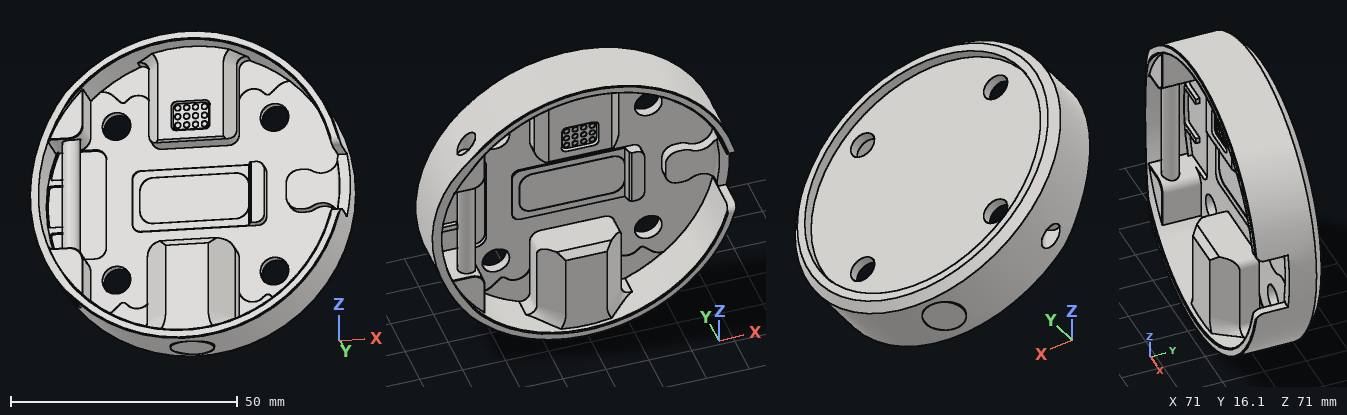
import cadquery as cq
import math


OUTER_RADIUS = 35.5
INNER_RADIUS = 33.5
RIM_HEIGHT = 16.1
FLOOR_HEIGHT = 5.0
BACK_CHAMFER = 2.0
BACK_RECESS_RADIUS = 31.5
BACK_RECESS_DEPTH = 2.5
RIM_OUTER_CHAMFER = 0.2
RIM_INNER_CHAMFER = 0.25

SCREW_HOLE_DIAMETER = 6.3
SCREW_HOLE_OFFSET = 17.75

RELIEF_START_X = -24.8
RELIEF_RADIUS = 15.4
RELIEF_ANGLE = 17.0

SLOT_HALF_WIDTH = 7.2
SLOT_HEIGHT = 8.5
SLOT_LIP_RADIUS = 2.0

BOSS_HEIGHT = 7.5
BOSS_END_X = 20.9
BOSS_HALF_WIDTH = 4.55
BOSS_CORNER_RADIUS = 3.0
NECK_X = 28.9
NECK_HALF_WIDTH = 3.45
NECK_RADIUS = 4.0
BOSS_WALL_RADIUS = 33.1

BLOCK_HALF_WIDTH = 9.85
BLOCK_INNER_Z = 11.85
BLOCK_CORNER_RADIUS = 2.4
BLOCK_FLARE_RADIUS = 2.0
BLOCK_FLARE_TRIM = 0.25
UPPER_BLOCK_HEIGHT = 10.5
UPPER_SIDE_CHAMFER = 2.5
UPPER_END_CHAMFER = 0.5
LOWER_BLOCK_HEIGHT = 14.75
LOWER_SIDE_CHAMFER = 5.05
LOWER_END_CHAMFER = 1.6

RECESS_DEPTH = 0.1
INNER_WAVE_X = 13.0
INNER_WAVE_Z = 21.3
INNER_WAVE_RADIUS = 3.3
OUTER_WAVE_X = 21.2
OUTER_WAVE_Z = 21.9
OUTER_WAVE_RADIUS = 4.0
VALLEY_X = 16.25
VALLEY_Z = 23.05
VALLEY_HALF_WIDTH = 0.6
VALLEY_RISE = 0.25

PIN_X = -26.7
PIN_HEIGHT = 11.0
PIN_DIAMETER = 3.97
PIN_HOLE_DIAMETER = 4.03
PIN_HALF_LENGTH = 20.0
PILLAR_EDGE_X = -23.5
PILLAR_INNER_Z = 12.6
PILLAR_HEIGHT = 14.3
PILLAR_CORNER_RADIUS = 3.0
PILLAR_EDGE_CHAMFER = 0.15
PILLAR_FLARE_RADIUS = 1.0
PILLAR_FLARE_TRIM = 0.1
PIN_POCKET_EDGE_X = -20.0
PIN_POCKET_CORNER_RADIUS = 2.5
PIN_POCKET_DEPTH = 1.0
RIB_INNER_Z = 4.8
RIB_OUTER_Z = 6.1
RIB_END_RADIUS = 0.7
PIN_POCKET_WALL_GAP = 0.25

PLUG_DIAMETER = 9.7
PLUG_HOLE_DIAMETER = 9.8
PLUG_AXIS_HEIGHT = 8.45
PLUG_LENGTH = 4.0

PAD_START_X = -14.1
PAD_END_X = 16.0
PAD_HALF_WIDTH = 7.0
PAD_THICKNESS = 0.4
PAD_CORNER_RADIUS = 1.9
RIDGE_START_X = 12.1
RIDGE_SLANT = 0.5
RIDGE_CHAMFER = 0.4
PANEL_START_X = -12.4
PANEL_HALF_WIDTH = 5.28
PANEL_CORNER_RADIUS = 3.0
PANEL_DEPTH = 0.1

CONNECTOR_Z = 17.6
CONNECTOR_LENGTH = 8.0
CONNECTOR_WIDTH = 6.0
CONNECTOR_GAP = 0.35
CONNECTOR_CORNER_RADIUS = 1.25
CONNECTOR_THICKNESS = 2.0
CONNECTOR_SINK = 0.6
CONTACT_DIAMETER = 1.3
CONTACT_PITCH = 2.0
CONTACT_COLUMNS = 4
CONTACT_ROWS = 3
CONTACT_RISE = 0.1

MARGIN = 5.0


def at_height(height):
    """Workplane facing -Y at the given height; its axes are X and Z."""
    return cq.Workplane("XZ", origin=(0, -height, 0))


def disc(radius, start, end):
    return at_height(start).circle(radius).extrude(end - start)


def slab(x_start, x_end, z_start, z_end, start, end):
    """Box between two corners in X and Z and two heights."""
    center_x = (x_start + x_end) / 2
    center_z = (z_start + z_end) / 2
    return (
        at_height(start)
        .center(center_x, center_z)
        .rect(x_end - x_start, abs(z_end - z_start))
        .extrude(end - start)
    )


def inside_wall(solid):
    """Trim a floor feature where it meets the middle of the shell wall."""
    wall_middle = (INNER_RADIUS + OUTER_RADIUS) / 2
    return solid.intersect(disc(wall_middle, 0, RIM_HEIGHT))


def make_shell():
    shell = disc(OUTER_RADIUS, 0, RIM_HEIGHT)
    shell = shell.faces(">Y").chamfer(BACK_CHAMFER)
    shell = shell.faces("<Y").chamfer(RIM_OUTER_CHAMFER)
    shell = shell.cut(disc(INNER_RADIUS, FLOOR_HEIGHT, RIM_HEIGHT))
    shell = shell.cut(disc(BACK_RECESS_RADIUS, 0, BACK_RECESS_DEPTH))
    inner_rim = cq.selectors.RadiusNthSelector(0)
    return shell.faces("<Y").edges(inner_rim).chamfer(RIM_INNER_CHAMFER)


def wavy_recess(side_x, side_z):
    """Shallow recess between a block, the wall and the plateau round a screw hole."""
    valley_top_z = VALLEY_Z + VALLEY_RISE
    valley_inner_x = VALLEY_X - VALLEY_HALF_WIDTH
    valley_outer_x = VALLEY_X + VALLEY_HALF_WIDTH
    block_reach = BLOCK_HALF_WIDTH - INNER_WAVE_X
    wave_start_z = INNER_WAVE_Z + math.sqrt(INNER_WAVE_RADIUS**2 - block_reach**2)
    diagonal = math.sqrt(0.5)
    lean_x = math.sin(math.radians(30))
    lean_z = math.cos(math.radians(30))
    outer_wave_top = OUTER_WAVE_Z + OUTER_WAVE_RADIUS

    def point(x, z):
        return (side_x * x, side_z * z)

    recess = (
        at_height(FLOOR_HEIGHT - RECESS_DEPTH)
        .moveTo(*point(BLOCK_HALF_WIDTH, wave_start_z))
        .threePointArc(
            point(INNER_WAVE_X, INNER_WAVE_Z + INNER_WAVE_RADIUS),
            point(
                INNER_WAVE_X + INNER_WAVE_RADIUS * lean_x,
                INNER_WAVE_Z + INNER_WAVE_RADIUS * lean_z,
            ),
        )
        .lineTo(*point(valley_inner_x, valley_top_z))
        .threePointArc(point(VALLEY_X, VALLEY_Z), point(valley_outer_x, valley_top_z))
        .lineTo(
            *point(
                OUTER_WAVE_X - OUTER_WAVE_RADIUS * diagonal,
                OUTER_WAVE_Z + OUTER_WAVE_RADIUS * diagonal,
            )
        )
        .threePointArc(
            point(
                OUTER_WAVE_X - OUTER_WAVE_RADIUS * lean_x,
                OUTER_WAVE_Z + OUTER_WAVE_RADIUS * lean_z,
            ),
            point(OUTER_WAVE_X, outer_wave_top),
        )
        .lineTo(*point(OUTER_WAVE_X, INNER_RADIUS))
        .lineTo(*point(BLOCK_HALF_WIDTH, INNER_RADIUS))
        .close()
        .extrude(RECESS_DEPTH)
    )
    return recess.intersect(disc(INNER_RADIUS, 0, FLOOR_HEIGHT))


def make_block(direction, height, side_chamfer, end_chamfer):
    """Floor block from BLOCK_INNER_Z to the wall, flared where it meets the wall.

    direction is +1 for the +Z side and -1 for the -Z side.
    """
    arc_x = BLOCK_HALF_WIDTH + BLOCK_FLARE_RADIUS
    arc_z = math.sqrt((INNER_RADIUS - BLOCK_FLARE_RADIUS) ** 2 - arc_x**2)
    touch_x = arc_x * INNER_RADIUS / (INNER_RADIUS - BLOCK_FLARE_RADIUS)
    reach_x = touch_x - BLOCK_FLARE_TRIM
    shoulder = height - side_chamfer

    core = slab(
        -BLOCK_HALF_WIDTH,
        BLOCK_HALF_WIDTH,
        direction * BLOCK_INNER_Z,
        direction * OUTER_RADIUS,
        BACK_RECESS_DEPTH,
        height,
    )
    inner_end = ">Z" if direction < 0 else "<Z"
    core = core.edges("|Y").edges(inner_end).fillet(BLOCK_CORNER_RADIUS)
    flare_root = slab(
        -reach_x, reach_x, direction * arc_z, direction * OUTER_RADIUS, BACK_RECESS_DEPTH, height
    )
    block = core.union(flare_root)

    for side in (-1, 1):
        profile = [
            (0, 0),
            (BLOCK_FLARE_RADIUS, 0),
            (BLOCK_FLARE_RADIUS, -shoulder),
            (BLOCK_FLARE_RADIUS + side_chamfer, -height),
            (0, -height),
        ]
        turned = (
            cq.Workplane("XY", origin=(side * arc_x, 0, direction * arc_z))
            .polyline(profile)
            .close()
            .revolve(360, (0, 0, 0), (0, 1, 0))
        )
        straight_profile = [(side * (arc_x - offset), y) for offset, y in profile]
        straight = (
            cq.Workplane("XY", origin=(0, 0, direction * arc_z))
            .polyline(straight_profile)
            .close()
            .extrude(-direction * arc_z)
        )
        block = block.cut(turned).cut(straight)

    end_cut = (
        cq.Workplane("YZ", origin=(-OUTER_RADIUS, 0, 0))
        .moveTo(-height, direction * BLOCK_INNER_Z)
        .lineTo(-height, direction * (BLOCK_INNER_Z + end_chamfer))
        .lineTo(-height + end_chamfer, direction * BLOCK_INNER_Z)
        .close()
        .extrude(2 * OUTER_RADIUS)
    )
    return inside_wall(block.cut(end_cut))


def make_pillar(direction):
    """Pillar on the floor that holds one end of the hinge pin."""
    pillar = slab(
        -OUTER_RADIUS,
        PILLAR_EDGE_X,
        direction * PILLAR_INNER_Z,
        direction * OUTER_RADIUS,
        BACK_RECESS_DEPTH,
        PILLAR_HEIGHT,
    )
    inner_end = "<Z" if direction > 0 else ">Z"
    pillar = pillar.edges("|Y").edges(">X").edges(inner_end).fillet(PILLAR_CORNER_RADIUS)
    pillar = pillar.faces("<Y").edges().chamfer(PILLAR_EDGE_CHAMFER)

    arc_z = PILLAR_INNER_Z - PILLAR_FLARE_RADIUS
    arc_circle = INNER_RADIUS - PILLAR_FLARE_RADIUS
    arc_x = -math.sqrt(arc_circle**2 - arc_z**2)
    root_z = arc_z * INNER_RADIUS / arc_circle + PILLAR_FLARE_TRIM
    flare = slab(
        -OUTER_RADIUS,
        arc_x,
        direction * root_z,
        direction * PILLAR_INNER_Z,
        BACK_RECESS_DEPTH,
        PILLAR_HEIGHT,
    )
    flare_hollow = (
        at_height(BACK_RECESS_DEPTH)
        .center(arc_x, direction * arc_z)
        .circle(PILLAR_FLARE_RADIUS)
        .extrude(PILLAR_HEIGHT)
    )
    return inside_wall(pillar.union(flare.cut(flare_hollow)))


def make_keyhole_boss():
    """Boss with a wide rounded end and a neck, blended up into the slotted wall."""
    corner_end_x = BOSS_END_X + BOSS_CORNER_RADIUS
    corner_z = BOSS_HALF_WIDTH - BOSS_CORNER_RADIUS
    radii = BOSS_CORNER_RADIUS + NECK_RADIUS
    step = BOSS_HALF_WIDTH - NECK_HALF_WIDTH
    shoulder_x = NECK_X - math.sqrt(radii**2 - (radii - step) ** 2)
    join = BOSS_CORNER_RADIUS / radii
    neck_z = NECK_HALF_WIDTH + NECK_RADIUS
    join_point = (
        shoulder_x + join * (NECK_X - shoulder_x),
        corner_z + join * (neck_z - corner_z),
    )
    flare_x = math.sqrt(INNER_RADIUS**2 - SLOT_HALF_WIDTH**2)
    half = (
        at_height(BACK_RECESS_DEPTH)
        .moveTo(BOSS_END_X, 0)
        .lineTo(BOSS_END_X, corner_z)
        .tangentArcPoint((corner_end_x, BOSS_HALF_WIDTH), relative=False)
        .lineTo(shoulder_x, BOSS_HALF_WIDTH)
        .tangentArcPoint(join_point, relative=False)
        .tangentArcPoint((NECK_X, NECK_HALF_WIDTH), relative=False)
        .tangentArcPoint((flare_x, SLOT_HALF_WIDTH), relative=False)
        .lineTo(OUTER_RADIUS, SLOT_HALF_WIDTH)
        .lineTo(OUTER_RADIUS, 0)
        .close()
    )
    prism = half.extrude(SLOT_HEIGHT - BACK_RECESS_DEPTH)
    fillet_radius = SLOT_HEIGHT - BOSS_HEIGHT
    fillet_start = BOSS_WALL_RADIUS - fillet_radius
    diagonal = fillet_radius * math.sqrt(0.5)
    hollow = (
        cq.Workplane("XY")
        .moveTo(0, -BOSS_HEIGHT)
        .lineTo(-fillet_start, -BOSS_HEIGHT)
        .threePointArc(
            (-fillet_start - diagonal, -SLOT_HEIGHT + diagonal),
            (-BOSS_WALL_RADIUS, -SLOT_HEIGHT),
        )
        .lineTo(-BOSS_WALL_RADIUS, -RIM_HEIGHT)
        .lineTo(0, -RIM_HEIGHT)
        .close()
        .revolve(360, (0, 0, 0), (0, 1, 0))
    )
    boss = prism.cut(hollow)
    return inside_wall(boss.union(boss.mirror("XY")))


def slot_cut():
    """Slot through the rim whose front corners are rounded outward."""
    lip = SLOT_HALF_WIDTH + SLOT_LIP_RADIUS
    lip_start = RIM_HEIGHT - SLOT_LIP_RADIUS
    opening = slab(
        BOSS_END_X, OUTER_RADIUS + MARGIN, -lip, lip, SLOT_HEIGHT, RIM_HEIGHT
    )
    for side in (-1, 1):
        straight_side = slab(
            BOSS_END_X, OUTER_RADIUS + MARGIN, side * SLOT_HALF_WIDTH, side * lip, SLOT_HEIGHT, lip_start
        )
        rounded_side = (
            cq.Workplane("YZ", origin=(BOSS_END_X, -lip_start, side * lip))
            .circle(SLOT_LIP_RADIUS)
            .extrude(OUTER_RADIUS)
        )
        opening = opening.cut(straight_side).cut(rounded_side)
    return opening


def relief_cut():
    """Slope that lowers the rim toward -X, starting with a tangent arc."""
    angle = math.radians(RELIEF_ANGLE)
    half_angle = angle / 2

    def arc_point(turn):
        x = RELIEF_START_X - RELIEF_RADIUS * math.sin(turn)
        return (x, -RIM_HEIGHT + RELIEF_RADIUS * (1 - math.cos(turn)))

    arc_end_x, arc_end_y = arc_point(angle)
    far_x = -OUTER_RADIUS - MARGIN
    far_y = arc_end_y + (arc_end_x - far_x) * math.tan(angle)
    return (
        cq.Workplane("XY", origin=(0, 0, -OUTER_RADIUS))
        .moveTo(RELIEF_START_X, -RIM_HEIGHT)
        .threePointArc(arc_point(half_angle), (arc_end_x, arc_end_y))
        .lineTo(far_x, far_y)
        .lineTo(far_x, -RIM_HEIGHT)
        .close()
        .extrude(2 * OUTER_RADIUS)
    )


def pin_pocket():
    """Floor pocket under the pin; two ribs divide its part beyond the pin."""
    bottom = FLOOR_HEIGHT - PIN_POCKET_DEPTH
    pocket = slab(
        -OUTER_RADIUS, PIN_POCKET_EDGE_X, -PILLAR_INNER_Z, PILLAR_INNER_Z, bottom, FLOOR_HEIGHT
    )
    pocket = pocket.edges("|Y and >X").fillet(PIN_POCKET_CORNER_RADIUS)
    for side in (-1, 1):
        rib = slab(
            -OUTER_RADIUS, PIN_X, side * RIB_INNER_Z, side * RIB_OUTER_Z, bottom, FLOOR_HEIGHT
        )
        pocket = pocket.cut(rib)
    pocket = pocket.intersect(disc(INNER_RADIUS - PIN_POCKET_WALL_GAP, 0, FLOOR_HEIGHT))
    beside_ribs = cq.selectors.BoxSelector(
        (-OUTER_RADIUS, -RIM_HEIGHT, -PILLAR_INNER_Z + PILLAR_FLARE_RADIUS),
        (PIN_X - PIN_DIAMETER, 0, PILLAR_INNER_Z - PILLAR_FLARE_RADIUS),
    )
    return pocket.edges("|Y").edges(beside_ribs).fillet(RIB_END_RADIUS)


def pin_rod(diameter, half_length):
    return (
        cq.Workplane("XY", origin=(PIN_X, -PIN_HEIGHT, -half_length))
        .circle(diameter / 2)
        .extrude(2 * half_length)
    )


def plug_rod(diameter):
    return (
        cq.Workplane("XY", origin=(0, -PLUG_AXIS_HEIGHT, -OUTER_RADIUS))
        .circle(diameter / 2)
        .extrude(PLUG_LENGTH)
    )


def connector_prism(gap, start, end):
    return (
        at_height(start)
        .center(0, CONNECTOR_Z)
        .rect(CONNECTOR_LENGTH + 2 * gap, CONNECTOR_WIDTH + 2 * gap)
        .extrude(end - start)
        .edges("|Y")
        .fillet(CONNECTOR_CORNER_RADIUS)
    )


def make_housing():
    housing = make_shell()
    for side_x in (-1, 1):
        for side_z in (-1, 1):
            housing = housing.cut(wavy_recess(side_x, side_z))
    housing = housing.cut(pin_pocket())
    housing = housing.union(
        make_block(1, UPPER_BLOCK_HEIGHT, UPPER_SIDE_CHAMFER, UPPER_END_CHAMFER)
    )
    housing = housing.union(
        make_block(-1, LOWER_BLOCK_HEIGHT, LOWER_SIDE_CHAMFER, LOWER_END_CHAMFER)
    )
    for direction in (-1, 1):
        housing = housing.union(make_pillar(direction))
    housing = housing.union(make_keyhole_boss())
    housing = housing.cut(slot_cut()).cut(relief_cut())
    housing = housing.cut(pin_rod(PIN_HOLE_DIAMETER, OUTER_RADIUS))
    housing = housing.cut(plug_rod(PLUG_HOLE_DIAMETER))
    housing = housing.cut(
        connector_prism(
            CONNECTOR_GAP,
            UPPER_BLOCK_HEIGHT - CONNECTOR_SINK - CONNECTOR_THICKNESS,
            UPPER_BLOCK_HEIGHT,
        )
    )
    screw_holes = (
        at_height(0)
        .rect(2 * SCREW_HOLE_OFFSET, 2 * SCREW_HOLE_OFFSET, forConstruction=True)
        .vertices()
        .circle(SCREW_HOLE_DIAMETER / 2)
        .extrude(RIM_HEIGHT)
    )
    return housing.cut(screw_holes)


def make_pad():
    pad_top = FLOOR_HEIGHT + PAD_THICKNESS
    pad = slab(
        PAD_START_X, PAD_END_X, -PAD_HALF_WIDTH, PAD_HALF_WIDTH, FLOOR_HEIGHT, pad_top
    )
    pad = pad.edges("|Y").fillet(PAD_CORNER_RADIUS)
    ridge = (
        cq.Workplane("XY", origin=(0, 0, -PAD_HALF_WIDTH))
        .moveTo(RIDGE_START_X, -FLOOR_HEIGHT)
        .lineTo(RIDGE_START_X, -pad_top)
        .lineTo(RIDGE_START_X + RIDGE_SLANT, -BOSS_HEIGHT + RIDGE_CHAMFER)
        .lineTo(RIDGE_START_X + RIDGE_SLANT + RIDGE_CHAMFER, -BOSS_HEIGHT)
        .lineTo(PAD_END_X, -BOSS_HEIGHT)
        .lineTo(PAD_END_X, -FLOOR_HEIGHT)
        .close()
        .extrude(2 * PAD_HALF_WIDTH)
    )
    ridge = ridge.edges("|Y and >X").fillet(PAD_CORNER_RADIUS)
    panel = slab(
        PANEL_START_X,
        RIDGE_START_X,
        -PANEL_HALF_WIDTH,
        PANEL_HALF_WIDTH,
        pad_top - PANEL_DEPTH,
        pad_top,
    )
    panel = panel.edges("|Y").fillet(PANEL_CORNER_RADIUS)
    return pad.union(ridge).cut(panel)


def make_connector():
    face = UPPER_BLOCK_HEIGHT - CONNECTOR_SINK
    connector = connector_prism(0, face - CONNECTOR_THICKNESS, face)
    contacts = (
        at_height(face)
        .center(0, CONNECTOR_Z)
        .rarray(CONTACT_PITCH, CONTACT_PITCH, CONTACT_COLUMNS, CONTACT_ROWS)
        .circle(CONTACT_DIAMETER / 2)
        .extrude(CONTACT_RISE)
    )
    return connector.union(contacts)


housing = make_housing()
pin = pin_rod(PIN_DIAMETER, PIN_HALF_LENGTH)
plug = plug_rod(PLUG_DIAMETER)
pad = make_pad()
connector = make_connector()

result = cq.Compound.makeCompound(
    [housing.val(), pin.val(), plug.val(), pad.val(), connector.val()]
)